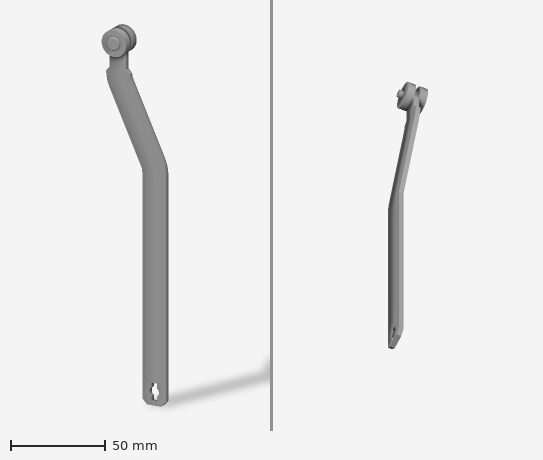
import cadquery as cq
import math

height = 207.5
overall_width = 36.5

disc_radius = 7.5
roller_length = 11.5
pin_radius = 2.0
pin_projection = 2.7
head_radius = 3.7
head_thickness = 1.0
head_chamfer = 0.5
axis_z = height - disc_radius

arm_thickness = 2.7
arm_width = 14.3
neck_width = 10.0
bend_angle = math.radians(25)
inner_bend_radius = 7.3
outer_bend_radius = inner_bend_radius + arm_width
upper_bend_z = 182.8
shoulder_height = 2.3
end_chamfer = 3.0
shank_x = overall_width - disc_radius - arm_width / 2

keyhole_z = 7.5
keyhole_radius = 3.0
keyhole_slot_width = 3.3
keyhole_slot_height = 10.2

mean_bend_radius = (inner_bend_radius + outer_bend_radius) / 2
slope_run = shank_x - 2 * mean_bend_radius * (1 - math.cos(bend_angle))
bend_drop = 2 * mean_bend_radius * math.sin(bend_angle) + slope_run / math.tan(bend_angle)
lower_bend_z = upper_bend_z - bend_drop

upper_bend_center = (mean_bend_radius, upper_bend_z)
lower_bend_center = (shank_x - mean_bend_radius, lower_bend_z)


def cylinder(radius, y_start, y_end):
    """Cylinder on the roller axis between two Y positions."""
    return (
        cq.Workplane("XZ", origin=(0, y_start, axis_z))
        .circle(radius)
        .extrude(y_start - y_end)
    )


def upper_bend_point(radius, angle):
    """Point on the upper bend, with the angle measured down from -X."""
    x, z = upper_bend_center
    return (x - radius * math.cos(angle), z - radius * math.sin(angle))


def lower_bend_point(radius, angle):
    """Point on the lower bend, with the angle measured up from +X."""
    x, z = lower_bend_center
    return (x + radius * math.cos(angle), z + radius * math.sin(angle))


def arm_outline():
    """Bent strip with a chamfered lower end and a round-ended neck."""
    left = shank_x - arm_width / 2
    right = shank_x + arm_width / 2
    neck_half = neck_width / 2
    neck_z = upper_bend_z + shoulder_height
    half_bend = bend_angle / 2
    return (
        cq.Workplane("XZ", origin=(0, arm_thickness / 2, 0))
        .moveTo(left + end_chamfer, 0)
        .lineTo(right - end_chamfer, 0)
        .lineTo(right, end_chamfer)
        .lineTo(right, lower_bend_z)
        .threePointArc(
            lower_bend_point(outer_bend_radius, half_bend),
            lower_bend_point(outer_bend_radius, bend_angle),
        )
        .lineTo(*upper_bend_point(inner_bend_radius, bend_angle))
        .threePointArc(
            upper_bend_point(inner_bend_radius, half_bend),
            upper_bend_point(inner_bend_radius, 0),
        )
        .lineTo(neck_half, neck_z)
        .lineTo(neck_half, axis_z)
        .threePointArc((0, axis_z + neck_half), (-neck_half, axis_z))
        .lineTo(-neck_half, neck_z)
        .lineTo(*upper_bend_point(outer_bend_radius, 0))
        .threePointArc(
            upper_bend_point(outer_bend_radius, half_bend),
            upper_bend_point(outer_bend_radius, bend_angle),
        )
        .lineTo(*lower_bend_point(inner_bend_radius, bend_angle))
        .threePointArc(
            lower_bend_point(inner_bend_radius, half_bend),
            lower_bend_point(inner_bend_radius, 0),
        )
        .lineTo(left, end_chamfer)
        .close()
    )


def make_keyhole():
    """Cutter for the keyhole, as thick as the arm."""
    plane = cq.Workplane("XZ", origin=(shank_x, arm_thickness / 2, keyhole_z))
    round_hole = plane.circle(keyhole_radius).extrude(arm_thickness)
    slot = plane.rect(keyhole_slot_width, keyhole_slot_height).extrude(arm_thickness)
    return round_hole.union(slot)


def make_arm():
    """Flat arm with a pin hole at the top and a keyhole at the bottom."""
    pin_hole = cylinder(pin_radius, -arm_thickness / 2, arm_thickness / 2)
    return arm_outline().extrude(arm_thickness).cut(pin_hole).cut(make_keyhole())


def make_roller():
    """Pin with its head in front and a disc on each side of the arm."""
    front = -roller_length / 2
    back = roller_length / 2
    pin = cylinder(pin_radius, front, back + pin_projection)
    head = cylinder(head_radius, front - head_thickness, front).faces("<Y").chamfer(head_chamfer)
    front_disc = cylinder(disc_radius, front, -arm_thickness / 2)
    back_disc = cylinder(disc_radius, arm_thickness / 2, back)
    return pin.union(head).union(front_disc).union(back_disc)


arm = make_arm()
roller = make_roller()

result = cq.Compound.makeCompound([arm.val(), roller.val()])